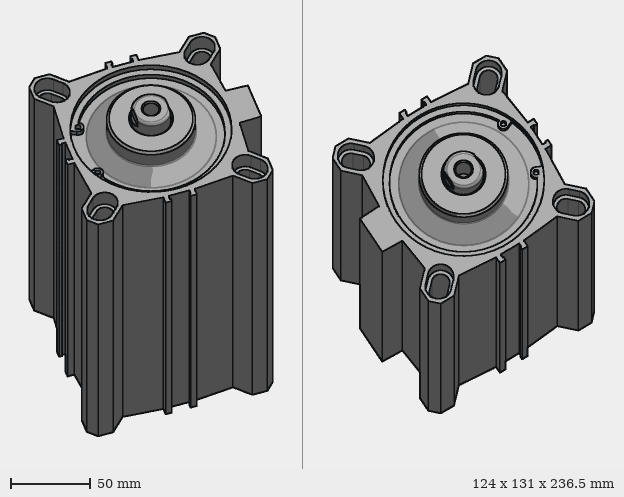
import cadquery as cq
import math

body_height = 216.0
corner_reach = 62.0
lug_chamfer = 5.7
lug_root = 36.7
lug_shoulder = 46.4
lug_root_reach = lug_root + corner_reach - lug_shoulder
wall_reach = 54.6

rail_outer = 10.4
rail_inner = 6.2
rail_stem_inner = 6.9
rail_reach = 59.1
rail_lip_depth = 2.2
weld_overlap = 1.0

port_reach = 69.0
port_tip_half = 13.1
port_root_half = 13.7

slot_centre = 49.1
slot_width = 11.45
slot_spacing = 6.6
counterbore_width = 16.5
counterbore_depth = 12.0

floor_thickness = 15.0
bore_diameter = 100.0
mouth_diameter = 101.7
groove_diameter = 106.2

ring_top = body_height - 4.3
ring_thickness = 3.7
ring_bottom = ring_top - ring_thickness
ring_inner_diameter = 93.3
ear_x = 19.2
ear_y = -42.0
ear_radius = 3.5
ear_hole_diameter = 3.5

cap_bottom = 190.0
cone_top = 214.0
cone_diameter = 82.0
boss_diameter = 56.0
boss_top = 226.5
boss_chamfer = 1.6
wiper_mouth_diameter = 28.0
wiper_diameter = 26.9
wiper_depth = 3.0
cone_fillet = 1.0

rod_diameter = 25.0
rod_top = 236.5
rod_fillet = 2.0
across_flats = 22.0
flat_height = 6.8
thread_diameter = 12.0
tap_diameter = 10.11
tap_depth = 24.0
drill_point_angle = 118.0


def turned(points):
    """Solid of revolution about Z from (radius, height) points."""
    return cq.Workplane("XZ").polyline(points).close().revolve(360, (0, 0, 0), (0, 1, 0))


def plate(z, height, points):
    """Polygon in XY extruded upward from z."""
    return cq.Workplane("XY").workplane(offset=z).polyline(points).close().extrude(height)


def quarter_turned(point, turns):
    """Point turned about the axis by 90 degrees, counterclockwise, the given number of times."""
    x, y = point
    for _ in range(turns):
        x, y = -y, x
    return x, y


def make_profile():
    """Housing outline: a bowed side and a diagonal lug, repeated four times."""
    quarter = [
        (-rail_outer, -wall_reach),
        (rail_outer, -wall_reach),
        (lug_root, -lug_root_reach),
        (lug_shoulder, -corner_reach),
        (corner_reach - lug_chamfer, -corner_reach),
        (corner_reach, lug_chamfer - corner_reach),
        (corner_reach, -lug_shoulder),
        (lug_root_reach, -lug_root),
    ]
    return [quarter_turned(p, turns) for turns in range(4) for p in quarter]


def make_rails():
    """Pair of rails on the -Y side, their lips facing each other."""
    lip_start = rail_reach - rail_lip_depth
    rail_root = wall_reach - weld_overlap
    right_rail = plate(0, body_height, [
        (rail_outer, -rail_root),
        (rail_outer, -rail_reach),
        (rail_inner, -rail_reach),
        (rail_inner, -lip_start),
        (rail_stem_inner, -lip_start),
        (rail_stem_inner, -rail_root),
    ])
    return right_rail.union(right_rail.mirror("YZ"))


def diagonal_slots(depth, width):
    """Slots in the four lugs, each pointing at the axis, cut down from the top face."""
    slot = (
        cq.Workplane("XY")
        .workplane(offset=body_height)
        .center(slot_centre, slot_centre)
        .slot2D(slot_spacing + width, width, 45)
        .extrude(-depth)
    )
    slots = cq.Workplane("XY")
    for angle in (0, 90, 180, 270):
        slots = slots.add(slot.rotate((0, 0, 0), (0, 0, 1), angle))
    return slots.combine()


def make_housing():
    """Extruded barrel with corner lugs, rails, port block, mounting slots and blind stepped bore."""
    housing = plate(0, body_height, make_profile())
    for angle in (-90, 0, 90):
        housing = housing.union(make_rails().rotate((0, 0, 0), (0, 0, 1), angle))
    port_root = wall_reach - weld_overlap
    port = plate(0, body_height, [
        (-port_root_half, port_root),
        (port_root_half, port_root),
        (port_tip_half, port_reach),
        (-port_tip_half, port_reach),
    ])
    housing = housing.union(port)
    housing = housing.cut(diagonal_slots(body_height, slot_width))
    housing = housing.cut(diagonal_slots(counterbore_depth, counterbore_width))
    bore = turned([
        (0, floor_thickness),
        (bore_diameter / 2, floor_thickness),
        (bore_diameter / 2, cap_bottom),
        (mouth_diameter / 2, cap_bottom),
        (mouth_diameter / 2, ring_bottom),
        (groove_diameter / 2, ring_bottom),
        (groove_diameter / 2, ring_top),
        (mouth_diameter / 2, ring_top),
        (mouth_diameter / 2, body_height),
        (0, body_height),
    ])
    return housing.cut(bore)


def ring_discs(diameter, centres):
    """Discs as thick as the snap ring, at its height."""
    plane = cq.Workplane("XY").workplane(offset=ring_bottom)
    return plane.pushPoints(centres).circle(diameter / 2).extrude(ring_thickness)


def make_snap_ring():
    """Open ring with a holed ear at each end of its gap."""
    axis = [(0, 0)]
    ear_centres = [(-ear_x, ear_y), (ear_x, ear_y)]
    ring = ring_discs(groove_diameter, axis).cut(ring_discs(ring_inner_diameter, axis))
    ear_angle = math.atan2(ear_x, -ear_y)
    sine = math.sin(ear_angle)
    cosine = math.cos(ear_angle)
    tangent_x = ear_x - ear_radius * cosine
    tangent_y = ear_y - ear_radius * sine
    inner_x = tangent_x - ear_radius * sine
    inner_y = tangent_y + ear_radius * cosine
    outer_x = tangent_x + groove_diameter * sine
    outer_y = tangent_y - groove_diameter * cosine
    gap = plate(ring_bottom, ring_thickness, [
        (inner_x, inner_y),
        (outer_x, outer_y),
        (-outer_x, outer_y),
        (-inner_x, inner_y),
    ])
    ears = ring_discs(2 * ear_radius, ear_centres)
    ear_holes = ring_discs(ear_hole_diameter, ear_centres)
    return ring.cut(gap).union(ears).cut(ear_holes)


def make_cap():
    """Plug under the snap ring with a raised cone, a guide boss and a wiper recess."""
    mouth_chamfer = (wiper_mouth_diameter - wiper_diameter) / 2
    cap = turned([
        (rod_diameter / 2, cap_bottom),
        (mouth_diameter / 2, cap_bottom),
        (mouth_diameter / 2, ring_bottom),
        (cone_diameter / 2, ring_bottom),
        (boss_diameter / 2, cone_top),
        (boss_diameter / 2, boss_top - boss_chamfer),
        (boss_diameter / 2 - boss_chamfer, boss_top),
        (wiper_mouth_diameter / 2, boss_top),
        (wiper_diameter / 2, boss_top - mouth_chamfer),
        (wiper_diameter / 2, boss_top - wiper_depth),
        (rod_diameter / 2, boss_top - wiper_depth),
    ])
    cone = cap.faces("%CONE").faces(cq.selectors.AreaNthSelector(-1))
    return cap.newObject(cone.edges("%CIRCLE").vals()).fillet(cone_fillet)


def make_rod():
    """Plain rod through the cap, with two wrench flats and a drilled end."""
    rod = (
        cq.Workplane("XY").workplane(offset=floor_thickness)
        .circle(rod_diameter / 2).extrude(rod_top - floor_thickness)
        .faces(">Z").edges().fillet(rod_fillet)
    )
    flat_bottom = rod_top - flat_height
    clear_of_rod = rod_diameter
    flat = (
        cq.Workplane("YZ")
        .polyline([
            (across_flats / 2, rod_top),
            (across_flats / 2, flat_bottom),
            (clear_of_rod, flat_bottom - (clear_of_rod - across_flats / 2)),
            (clear_of_rod, rod_top),
        ])
        .close().extrude(rod_diameter / 2, both=True)
    )
    rod = rod.cut(flat).cut(flat.mirror("XZ"))
    point_depth = tap_diameter / 2 / math.tan(math.radians(drill_point_angle / 2))
    countersink = (thread_diameter - tap_diameter) / 2
    hole = turned([
        (0, rod_top - tap_depth - point_depth),
        (tap_diameter / 2, rod_top - tap_depth),
        (tap_diameter / 2, rod_top - countersink),
        (thread_diameter / 2, rod_top),
        (0, rod_top),
    ])
    return rod.cut(hole)


housing = make_housing()
snap_ring = make_snap_ring()
cap = make_cap()
rod = make_rod()
result = cq.Compound.makeCompound([housing.val(), snap_ring.val(), cap.val(), rod.val()])